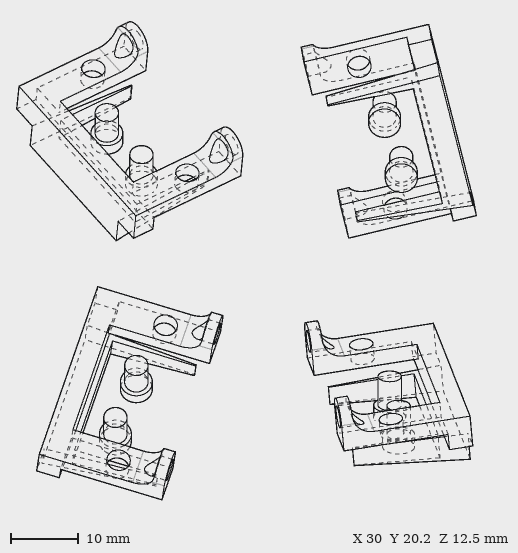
import cadquery as cq
import math

tilt = 4.7

frame_width = 30.02
frame_length = 19.15
bar_depth = 3.5
bar_height = 5.0
arm_width = 5.65
arm_thickness = 2.45
arm_center_x = (frame_width - arm_width) / 2

base_width = 22.1
base_length = 17.15
base_height = 4.32
base_block_depth = 4.3
leg_inner_x = 9.75
leg_rear_x = 9.97
frame_top = base_height + bar_height
arm_bottom = frame_top - arm_thickness

lug_radius = arm_width / 2
lug_thickness = 1.75
lug_center_z = 11.15
lug_front_y = frame_length - lug_thickness
eye_diameter = 3.25
fillet_radius = 3.0

arm_hole_diameter = 3.45
arm_hole_x = 12.07
arm_hole_y = 11.38

pin_diameter = 3.45
pin_height = 6.78
head_diameter = 4.75
head_height = 2.0
pin_positions = [(-5.13, 9.67), (4.3, 9.28)]


def box(width, y_start, y_end, z_start, z_end, center_x=0.0):
    """Block centred on center_x, spanning the given Y and Z ranges."""
    size_y = y_end - y_start
    size_z = z_end - z_start
    block = cq.Workplane("XY").box(width, size_y, size_z, centered=(True, False, False))
    return block.translate((center_x, y_start, z_start))


def rod_along_y(diameter, center_x):
    """Cylinder through the lug centre, long enough to pass the lug and its fillet."""
    start_y = lug_front_y - fillet_radius
    plane = cq.Plane(origin=(center_x, start_y, lug_center_z), xDir=(1, 0, 0), normal=(0, 1, 0))
    return cq.Workplane(plane).circle(diameter / 2).extrude(frame_length - start_y)


def make_lug(center_x):
    """Ear with a concave fillet at its front, all trimmed to a round-topped outline."""
    fillet_start_y = lug_front_y - fillet_radius
    fillet_end_z = frame_top + fillet_radius
    arc_offset = fillet_radius * math.sqrt(0.5)
    arc_middle = (fillet_start_y + arc_offset, fillet_end_z - arc_offset)
    lug_top = lug_center_z + lug_radius
    profile = (
        cq.Workplane("YZ", origin=(center_x - arm_width / 2, 0, 0))
        .moveTo(frame_length, arm_bottom)
        .lineTo(frame_length, lug_top)
        .lineTo(lug_front_y, lug_top)
        .lineTo(lug_front_y, fillet_end_z)
        .threePointArc(arc_middle, (fillet_start_y, frame_top))
        .lineTo(fillet_start_y, arm_bottom)
        .close()
        .extrude(arm_width)
    )
    outline = box(arm_width, fillet_start_y, frame_length, arm_bottom, lug_center_z, center_x)
    outline = outline.union(rod_along_y(arm_width, center_x))
    return profile.intersect(outline).cut(rod_along_y(eye_diameter, center_x))


def make_base():
    """U in plan with tapered outer sides, deep enough to be trimmed level after tipping."""
    drop = base_length * math.tan(math.radians(tilt))
    right_half = [
        (base_width / 2, 0),
        (leg_rear_x, base_length),
        (leg_inner_x, base_length),
        (leg_inner_x, base_block_depth),
    ]
    left_half = [(-x, y) for x, y in reversed(right_half)]
    outline = cq.Workplane("XY", origin=(0, 0, -drop)).polyline(right_half + left_half).close()
    return outline.extrude(drop + base_height)


def make_bracket():
    """Frame, lugs and base as one body, tipped and trimmed level at Z = 0."""
    bracket = make_base().union(box(frame_width, 0, bar_depth, base_height, frame_top))
    for side in (-1, 1):
        center_x = side * arm_center_x
        bracket = bracket.union(box(arm_width, 0, frame_length, arm_bottom, frame_top, center_x))
        bracket = bracket.union(make_lug(center_x))
        hole = (
            cq.Workplane("XY", origin=(side * arm_hole_x, arm_hole_y, arm_bottom))
            .circle(arm_hole_diameter / 2)
            .extrude(arm_thickness)
        )
        bracket = bracket.cut(hole)
    bracket = bracket.rotate((0, 0, 0), (1, 0, 0), -tilt)
    above_ground = box(frame_width, 0, 2 * frame_length, 0, 2 * frame_top)
    return bracket.intersect(above_ground)


def make_pin(x, y):
    """Upright pin on a wider round head."""
    head = cq.Workplane("XY", origin=(x, y, 0)).circle(head_diameter / 2).extrude(head_height)
    shank = cq.Workplane("XY", origin=(x, y, 0)).circle(pin_diameter / 2).extrude(pin_height)
    return head.union(shank)


bracket = make_bracket()
pins = [make_pin(x, y) for x, y in pin_positions]

result = cq.Compound.makeCompound([bracket.val(), *[pin.val() for pin in pins]])